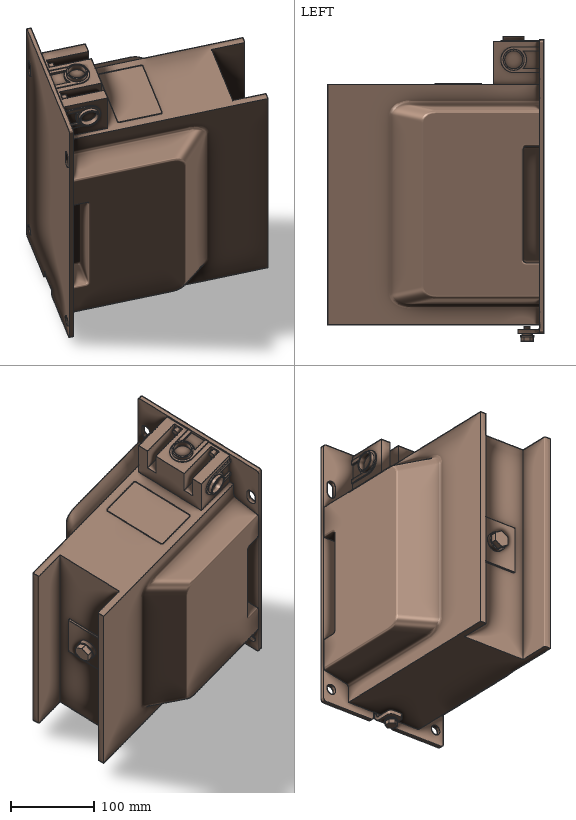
import cadquery as cq
import math

plate_width = 184.0
plate_height = 353.5
plate_thickness = 5.0
plate_corner_radius = 4.0
mount_spacing = 160.2
mount_hole_diameter = 13.0
mount_hole_z = 19.5
slot_width = 12.0
slot_length = 22.7
slot_z = 294.7

notch_width = 30.5
notch_height = 11.0
notch_mouth_radius = 3.5
tab_width = 21.0
tab_end_y = 31.0
tab_end_radius = 5.5
bend_inner_radius = 2.2
bend_outer_radius = 10.0

screw_y = 20.0
stud_diameter = 7.0
stud_projection = 3.5
spring_washer_diameter = 13.0
spring_washer_thickness = 2.2
screw_washer_diameter = 16.0
screw_washer_thickness = 1.5
screw_head_flats = 13.0
screw_head_height = 5.5

body_width = 107.5
body_bottom = 10.5
body_height = 289.0
body_top = body_bottom + body_height
body_mid_z = body_bottom + body_height / 2
body_back_y = 218.0
flange_end_y = 260.0
flange_thickness = 8.8
flange_corner_radius = 1.5

label_width = 85.0
label_depth = 55.7
label_front_y = 75.0
label_thickness = 1.0
label_corner_radius = 2.2

terminal_plate_size = 61.0
terminal_plate_thickness = 2.5
terminal_washer_diameter = 24.0
terminal_washer_thickness = 5.0
terminal_head_flats = 19.0
terminal_head_height = 7.5

bulge_width = 183.3
bulge_outer_y = 146.0
bulge_base_y = 183.5
bulge_base_height = 241.2
bulge_outer_height = 225.0
bulge_corner_radius = 16.0
bulge_edge_radius = 3.5
bulge_root_radius = 5.5

recess_end_y = 25.0
recess_height = 139.5
recess_corner_radius = 3.5
recess_edge_radius = 2.5

block_width = 95.3
block_back_y = 61.0
block_top = 351.2
groove_offset = 28.0
groove_width = 12.5
groove_front_y = 8.5
groove_depth = 33.0
pin_diameter = 8.0
pin_end_y = 15.0
pin_z = 345.5

socket_y = 36.3
side_socket_z = 329.2
pad_width = 30.8
top_pad_height = 1.0
side_pad_height = 2.0
ring_diameter = 25.3
ring_bore = 21.5
socket_height = 6.2
channel_width = 20.5
channel_depth = 3.0

MIRROR_SIDES = (-1, 1)
HEX_VERTEX_UP = (0, 0, 90)
SELECT_MARGIN = 0.5


def box(width, y_start, y_end, z_start, z_end, x_centre=0):
    """Box centred on x_centre between the given Y and Z limits."""
    return (
        cq.Workplane("XY")
        .box(width, y_end - y_start, z_end - z_start, centered=(True, False, False))
        .translate((x_centre, y_start, z_start))
    )


def vertical_cylinder(diameter, z_start, height, y):
    return cq.Workplane("XY", origin=(0, y, z_start)).circle(diameter / 2).extrude(height)


def rear_cylinder(diameter, y_start, length, x, z):
    """Cylinder that runs from y_start towards +Y."""
    return cq.Workplane("XZ", origin=(x, y_start, z)).circle(diameter / 2).extrude(-length)


def across_corners(flats):
    return flats / math.cos(math.pi / 6)


def make_plate():
    plate = box(plate_width, 0, plate_thickness, 0, plate_height)
    plate = plate.edges("|Y").fillet(plate_corner_radius)
    notch = box(notch_width, 0, plate_thickness, 0, notch_height)
    plate = plate.cut(notch)
    mouth = cq.selectors.BoxSelector(
        (-notch_width, -SELECT_MARGIN, -SELECT_MARGIN),
        (notch_width, plate_thickness + SELECT_MARGIN, SELECT_MARGIN),
    )
    plate = plate.edges("|Y").edges(mouth).fillet(notch_mouth_radius)

    holes = (
        cq.Workplane("XZ", origin=(0, 0, mount_hole_z))
        .rarray(mount_spacing, 3.5, 2, 1)
        .circle(mount_hole_diameter / 2)
        .extrude(-plate_thickness)
    )
    slots = (
        cq.Workplane("XZ", origin=(0, 0, slot_z))
        .rarray(mount_spacing, 3.5, 2, 1)
        .slot2D(slot_length, slot_width, 90)
        .extrude(-plate_thickness)
    )
    return plate.cut(holes).cut(slots)


def make_tab():
    outer_mid = bend_outer_radius * (1 - math.sqrt(0.5))
    inner_bend_end = plate_thickness + bend_inner_radius
    inner_mid = inner_bend_end - bend_inner_radius * math.sqrt(0.5)
    tab = (
        cq.Workplane("YZ", origin=(-tab_width / 2, 0, 0))
        .moveTo(0, notch_height)
        .lineTo(0, bend_outer_radius)
        .threePointArc((outer_mid, outer_mid), (bend_outer_radius, 0))
        .lineTo(tab_end_y, 0)
        .lineTo(tab_end_y, plate_thickness)
        .lineTo(inner_bend_end, plate_thickness)
        .threePointArc((inner_mid, inner_mid), (plate_thickness, inner_bend_end))
        .lineTo(plate_thickness, notch_height)
        .close()
        .extrude(tab_width)
    )
    return tab.edges("|Z").edges(">Y").fillet(tab_end_radius)


def make_tab_screw():
    stud = vertical_cylinder(stud_diameter, plate_thickness, stud_projection, screw_y)
    spring_washer = vertical_cylinder(
        spring_washer_diameter, 0, -spring_washer_thickness, screw_y
    )
    washer_bottom = -spring_washer_thickness - screw_washer_thickness
    washer = vertical_cylinder(
        screw_washer_diameter, washer_bottom, screw_washer_thickness, screw_y
    )
    head = (
        cq.Workplane("XY", origin=(0, screw_y, washer_bottom))
        .transformed(rotate=HEX_VERTEX_UP)
        .polygon(6, across_corners(screw_head_flats))
        .extrude(-screw_head_height)
    )
    return stud.union(spring_washer).union(washer).union(head)


def make_body():
    body = box(body_width, plate_thickness, flange_end_y, body_bottom, body_top)
    gap_width = body_width - 2 * flange_thickness
    gap = box(gap_width, body_back_y, flange_end_y, body_bottom, body_top)
    body = body.cut(gap)
    inner_corners = cq.selectors.BoxSelector(
        (-gap_width / 2 - SELECT_MARGIN, flange_end_y - SELECT_MARGIN, body_bottom),
        (gap_width / 2 + SELECT_MARGIN, flange_end_y + SELECT_MARGIN, body_top),
    )
    return body.edges("|Z").edges(inner_corners).fillet(flange_corner_radius)


def make_bulges():
    """Both bulges as one solid that runs through the housing."""
    half_body = body_width / 2
    half_bulge = bulge_width / 2
    plan = (
        cq.Workplane("XY", origin=(0, 0, body_bottom))
        .polyline([
            (-half_bulge, plate_thickness),
            (half_bulge, plate_thickness),
            (half_bulge, bulge_outer_y),
            (half_body, bulge_base_y),
            (-half_body, bulge_base_y),
            (-half_bulge, bulge_outer_y),
        ])
        .close()
        .extrude(body_height)
    )
    half_base = bulge_base_height / 2
    half_outer = bulge_outer_height / 2
    section = (
        cq.Workplane("XZ", origin=(0, plate_thickness, body_mid_z))
        .polyline([
            (-half_bulge, -half_outer),
            (-half_body, -half_base),
            (half_body, -half_base),
            (half_bulge, -half_outer),
            (half_bulge, half_outer),
            (half_body, half_base),
            (-half_body, half_base),
            (-half_bulge, half_outer),
        ])
        .close()
        .extrude(plate_thickness - bulge_base_y)
    )
    bulges = plan.intersect(section)

    for side in MIRROR_SIDES:
        slope = cq.selectors.BoxSelector(
            (side * (half_body + SELECT_MARGIN), bulge_outer_y + SELECT_MARGIN, body_bottom),
            (side * (half_bulge - SELECT_MARGIN), bulge_base_y - SELECT_MARGIN, body_top),
        )
        bulges = bulges.edges(slope).fillet(bulge_corner_radius)
    for face in ("<X", ">X"):
        rim = bulges.faces(face).edges("not(<Y)")
        bulges = rim.fillet(bulge_edge_radius)
    return bulges


def round_bulge_roots(housing):
    """Fillet the concave edges where the bulges leave the sides of the housing."""
    for side in MIRROR_SIDES:
        x_side = side * body_width / 2
        root = cq.selectors.BoxSelector(
            (x_side - SELECT_MARGIN, plate_thickness, body_bottom + SELECT_MARGIN),
            (x_side + SELECT_MARGIN, bulge_base_y + SELECT_MARGIN, body_top - SELECT_MARGIN),
            boundingbox=True,
        )
        housing = housing.edges(root).fillet(bulge_root_radius)
    return housing


def cut_recesses(housing):
    recess_depth = (bulge_width - body_width) / 2
    z_start = body_mid_z - recess_height / 2
    for side in MIRROR_SIDES:
        recess = box(
            recess_depth, plate_thickness, recess_end_y, z_start, z_start + recess_height,
            side * (body_width + recess_depth) / 2,
        )
        recess = recess.edges("|X and >Y").fillet(recess_corner_radius)
        inner_face = "<X" if side > 0 else ">X"
        recess = recess.faces(inner_face).edges("not(<Y)").fillet(recess_edge_radius)
        housing = housing.cut(recess)
        x_side = side * bulge_width / 2
        rim = cq.selectors.BoxSelector(
            (x_side - SELECT_MARGIN, plate_thickness - SELECT_MARGIN, z_start - SELECT_MARGIN),
            (x_side + SELECT_MARGIN, recess_end_y + SELECT_MARGIN, z_start + recess_height + SELECT_MARGIN),
            boundingbox=True,
        )
        housing = housing.edges(rim).fillet(recess_edge_radius)
    return housing


def make_label():
    label = box(
        label_width, label_front_y, label_front_y + label_depth,
        body_top, body_top + label_thickness,
    )
    return label.edges("|Z").fillet(label_corner_radius)


def make_rear_terminal():
    half_size = terminal_plate_size / 2
    washer_y = body_back_y + terminal_plate_thickness
    head_y = washer_y + terminal_washer_thickness
    plate = box(
        terminal_plate_size, body_back_y, washer_y,
        body_mid_z - half_size, body_mid_z + half_size,
    )
    washer = rear_cylinder(
        terminal_washer_diameter, washer_y, terminal_washer_thickness, 0, body_mid_z
    )
    head = (
        cq.Workplane("XZ", origin=(0, head_y, body_mid_z))
        .transformed(rotate=HEX_VERTEX_UP)
        .polygon(6, across_corners(terminal_head_flats))
        .extrude(-terminal_head_height)
    )
    return plate.union(washer).union(head)


def make_block():
    block = box(block_width, plate_thickness, block_back_y, body_top, block_top)
    for side in MIRROR_SIDES:
        x = side * groove_offset
        groove = box(
            groove_width, groove_front_y, block_back_y,
            block_top - groove_depth, block_top, x,
        )
        pin = rear_cylinder(pin_diameter, groove_front_y, pin_end_y - groove_front_y, x, pin_z)
        block = block.cut(groove).union(pin)
    return block


def add_socket(block, face, pad_height):
    """Add a raised round pad with a ring, and a grooved strip from the pad to the plate.

    The local -Y direction of the face plane points at the plate.
    """
    reach = socket_y - plate_thickness

    def strip(width, start, height):
        return (
            face.workplane(offset=start)
            .center(0, -reach / 2)
            .rect(width, reach)
            .extrude(height)
        )

    def disc(diameter, start, height):
        return face.workplane(offset=start).circle(diameter / 2).extrude(height)

    ring_height = socket_height - pad_height
    channel_floor = pad_height - channel_depth
    pad_strip = strip(pad_width, 0, pad_height)
    channel = strip(channel_width, channel_floor, channel_depth)
    pad = disc(pad_width, channel_floor, channel_depth)
    ring = disc(ring_diameter, pad_height, ring_height)
    bore = disc(ring_bore, channel_floor, channel_depth + ring_height)
    return block.union(pad_strip).cut(channel).union(pad).union(ring).cut(bore)


def make_socket_block():
    top_plane = cq.Plane(origin=(0, socket_y, block_top), xDir=(1, 0, 0), normal=(0, 0, 1))
    block = add_socket(make_block(), cq.Workplane(top_plane), top_pad_height)
    for side in MIRROR_SIDES:
        side_plane = cq.Plane(
            origin=(side * block_width / 2, socket_y, side_socket_z),
            xDir=(0, 0, -side),
            normal=(side, 0, 0),
        )
        block = add_socket(block, cq.Workplane(side_plane), side_pad_height)
    return block


housing = make_body().union(make_bulges())
housing = round_bulge_roots(housing)
housing = cut_recesses(housing)

result = (
    housing.union(make_plate())
    .union(make_tab())
    .union(make_tab_screw())
    .union(make_label())
    .union(make_rear_terminal())
    .union(make_socket_block())
)